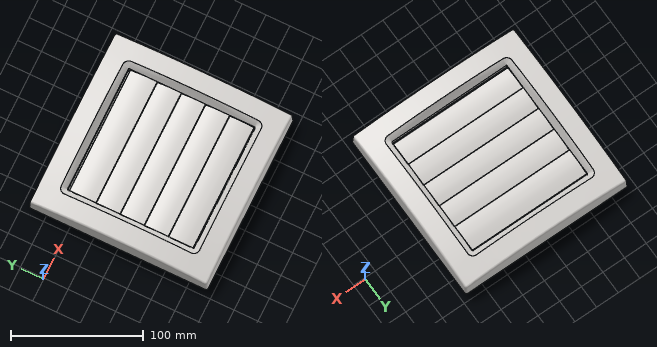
import cadquery as cq
import math

side = 150.0
peak_height = 19.2
wall_draft = 2.0
corner_radius = 2.0
edge_radius = 2.0
dome_radius = 540.0

opening_half = 53.1
flare_width = 5.1
rim_corner_radius = 5.1
foot_corner_radius = 0.2
foot_height = 13.5
flare_overrun = 1.2

slat_count = 5
slat_pitch = 20.2
slat_end_y = -52.0
slat_low = 11.4
slat_lap = 1.6
last_slat_drop = 0.8
slat_arc = 24.0
step_lean = 0.22
lead_in_slope = 13.0
gap_width = 1.4
gap_depth = 1.5

rim_half = opening_half + flare_width
dome_center_z = peak_height - math.sqrt(dome_radius**2 - rim_half**2)
clear_height = 2 * peak_height


def dome_height(x, y):
    return dome_center_z + math.sqrt(dome_radius**2 - x**2 - y**2)


def outer_block():
    """Drafted square block with a domed top and rounded edges."""
    block = (
        cq.Workplane("XY")
        .rect(side, side)
        .extrude(clear_height, taper=wall_draft)
        .edges("not(#Z or |X or |Y)")
        .fillet(corner_radius)
    )
    dome = cq.Workplane("XY").sphere(dome_radius).translate((0, 0, dome_center_z))
    return block.intersect(dome).faces(">Z").edges().fillet(edge_radius)


def rounded_square(half, radius, height):
    """Closed rounded square around the Z axis, lifted to height(x, y)."""

    def lifted(x, y, quarter_turns):
        for _ in range(quarter_turns):
            x, y = -y, x
        return cq.Vector(x, y, height(x, y))

    straight = half - radius
    corner_reach = straight + radius * math.sqrt(0.5)
    edges = []
    for quarter in range(4):
        start = lifted(half, -straight, quarter)
        middle = lifted(half, 0, quarter)
        end = lifted(half, straight, quarter)
        corner_middle = lifted(corner_reach, corner_reach, quarter)
        corner_end = lifted(straight, half, quarter)
        if start.z == middle.z:
            edges.append(cq.Edge.makeLine(start, end))
        else:
            edges.append(cq.Edge.makeThreePointArc(start, middle, end))
        edges.append(cq.Edge.makeThreePointArc(end, corner_middle, corner_end))
    return cq.Wire.assembleEdges(edges)


def flare():
    """Cutter ruled from a level foot to an arched rim that lies on the dome at rim_half."""
    outer_half = opening_half + flare_overrun * flare_width
    outer_radius = flare_overrun * rim_corner_radius
    inward = rim_half / outer_half

    def overrun_height(x, y):
        rise = dome_height(x * inward, y * inward) - foot_height
        return foot_height + flare_overrun * rise

    foot = rounded_square(opening_half, foot_corner_radius, lambda x, y: foot_height)
    rim = rounded_square(outer_half, outer_radius, overrun_height)
    lid = rounded_square(outer_half, outer_radius, lambda x, y: clear_height)
    return cq.Workplane(cq.Solid.makeLoft([foot, rim, lid], True))


def slats():
    """All slats in one profile that fills the opening, with a narrow gap at each end."""
    first_y = slat_end_y + slat_count * slat_pitch
    strip_y = opening_half - gap_width
    strip_height = slat_low - (strip_y - first_y) * math.tan(math.radians(lead_in_slope))
    back_gap_floor = strip_height - gap_depth
    front_gap_floor = slat_low - last_slat_drop - gap_depth
    sag_ratio = math.tan(math.radians(slat_arc / 4)) / 2

    profile = (
        cq.Workplane("YZ")
        .moveTo(opening_half, 0)
        .lineTo(opening_half, back_gap_floor)
        .lineTo(strip_y, back_gap_floor)
        .lineTo(strip_y, strip_height)
        .lineTo(first_y, slat_low)
    )
    for index in range(slat_count):
        back = first_y - index * slat_pitch
        front = back - slat_pitch
        is_last = index == slat_count - 1
        tip = front if is_last else front + step_lean
        rise = -last_slat_drop if is_last else slat_lap
        chord = math.hypot(back - tip, rise)
        profile = profile.sagittaArc((tip, slat_low + rise), -chord * sag_ratio)
        if not is_last:
            profile = profile.lineTo(front, slat_low)
    profile = (
        profile.lineTo(slat_end_y, front_gap_floor)
        .lineTo(-opening_half, front_gap_floor)
        .lineTo(-opening_half, 0)
        .close()
    )
    return profile.extrude(opening_half, both=True)


opening = cq.Workplane("XY").rect(2 * opening_half, 2 * opening_half).extrude(peak_height)
result = outer_block().cut(flare()).cut(opening).union(slats())